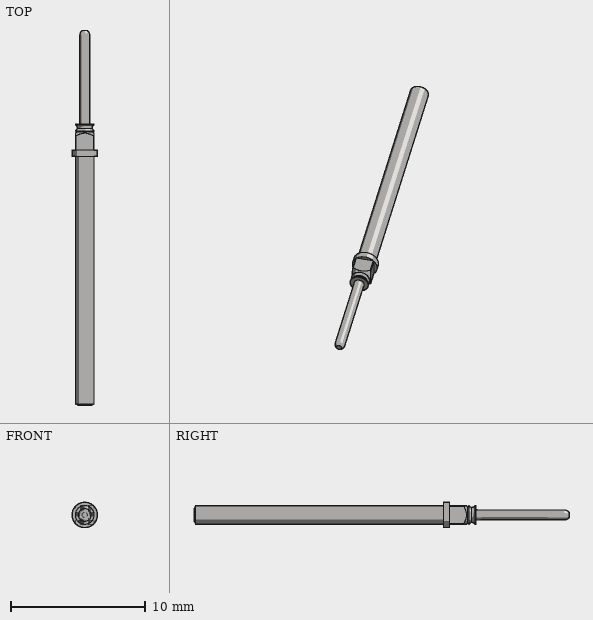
import cadquery as cq

total_length = 27.9

shaft_radius = 0.7
shaft_length = 18.53
end_face_radius = 0.47
end_bevel_length = 0.1

flange_radius = 0.95
flange_length = 0.47

square_width = 2 * shaft_radius
square_length = 1.25
square_bevel_length = 0.2

small_groove_radius = 0.6
small_groove_length = 0.17
large_groove_radius = 0.55
large_groove_back_flank = 0.2
large_groove_front_flank = 0.25
large_groove_arc_radius = 0.28
rim_length = 0.08

pin_diameter = 0.75
pin_radius = pin_diameter / 2
neck_radius = 0.4
neck_length = 0.42
tip_radius = 0.2
tip_length = 0.35

flange_back = shaft_length
flange_front = flange_back + flange_length
square_front = flange_front + square_length
barb_edge = square_front + small_groove_length
large_groove_bottom = barb_edge + large_groove_back_flank
rim_back = large_groove_bottom + large_groove_front_flank
rim_front = rim_back + rim_length
neck_front = rim_front + neck_length
tip_back = total_length - tip_length


def turn(outline):
    """Turn a closed outline about the Y axis."""
    return outline.revolve(360, (0, 0, 0), (0, 1, 0))


def make_shaft_and_flange():
    """Long shaft with a bevelled back end, carrying the flange at its front."""
    points = [
        (0, 0),
        (end_face_radius, 0),
        (shaft_radius, end_bevel_length),
        (shaft_radius, flange_back),
        (flange_radius, flange_back),
        (flange_radius, flange_front),
        (0, flange_front),
    ]
    return turn(cq.Workplane("XY").polyline(points).close())


def make_square_section():
    """Square bar whose corners are turned to the flange radius and bevelled at the front."""
    points = [
        (0, flange_front),
        (flange_radius, flange_front),
        (flange_radius, square_front - square_bevel_length),
        (shaft_radius, square_front),
        (0, square_front),
    ]
    blank = turn(cq.Workplane("XY").polyline(points).close())
    bar = cq.Workplane("XY").box(square_width, square_length, square_width)
    bar = bar.translate((0, flange_front + square_length / 2, 0))
    return blank.intersect(bar)


def make_barbs_and_pin():
    """Turned front end: small V groove, large groove, rim, flared neck and round-nosed pin."""
    outline = (
        cq.Workplane("XY")
        .moveTo(0, square_front)
        .lineTo(shaft_radius, square_front)
        .lineTo(small_groove_radius, square_front + small_groove_length / 2)
        .lineTo(shaft_radius, barb_edge)
        .lineTo(large_groove_radius, large_groove_bottom)
        .radiusArc((shaft_radius, rim_back), large_groove_arc_radius)
        .lineTo(shaft_radius, rim_front)
        .lineTo(neck_radius, rim_front)
        .lineTo(pin_radius, neck_front)
        .lineTo(pin_radius, tip_back)
        .tangentArcPoint((tip_radius, total_length), relative=False)
        .lineTo(0, total_length)
        .close()
    )
    return turn(outline)


result = make_shaft_and_flange().union(make_square_section()).union(make_barbs_and_pin())